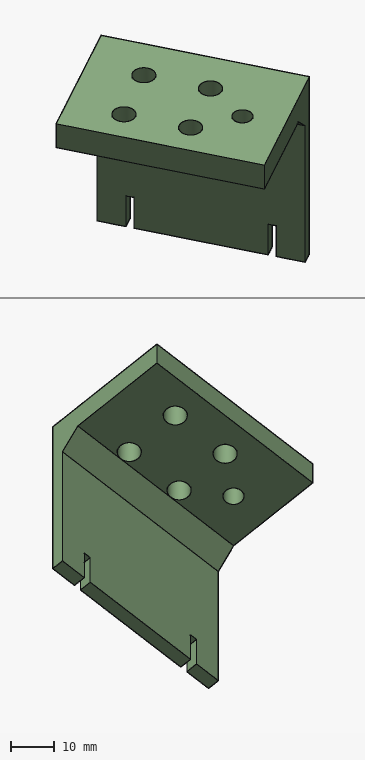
import cadquery as cq

width = 50.0
depth = 34.0
height = 52.0

plate_thickness = 7.0
wall_thickness = 3.2
wedge_leg = 5.0

pattern_hole_diameter = 5.5
pattern_pitch_x = 16.0
pattern_pitch_y = 15.0
pattern_center_x = 21.75
pattern_center_y = 15.5

side_hole_diameter = 4.8
side_hole_x = 39.8

slot_width = 1.9
slot_height = 9.0
slot_edge_distance = 7.0

plate_bottom = height - plate_thickness
wall_front = depth - wall_thickness


def bracket_body():
    """L-shaped bracket with a full-width 45 degree wedge in the inner corner."""
    profile = [
        (0, height),
        (depth, height),
        (depth, 0),
        (wall_front, 0),
        (wall_front, plate_bottom - wedge_leg),
        (wall_front - wedge_leg, plate_bottom),
        (0, plate_bottom),
    ]
    return cq.Workplane("YZ").polyline(profile).close().extrude(width)


def plate_hole(x, y, diameter):
    """Vertical cutter that passes through the plate."""
    return (
        cq.Workplane("XY", origin=(x, y, plate_bottom))
        .circle(diameter / 2)
        .extrude(plate_thickness)
    )


def wall_slot(x_start):
    """Cutter for a slot that rises from the bottom edge of the wall."""
    return (
        cq.Workplane("XY", origin=(x_start, wall_front, 0))
        .box(slot_width, wall_thickness, slot_height, centered=False)
    )


result = bracket_body()

for side_x in (-1, 1):
    for side_y in (-1, 1):
        hole_x = pattern_center_x + side_x * pattern_pitch_x / 2
        hole_y = pattern_center_y + side_y * pattern_pitch_y / 2
        result = result.cut(plate_hole(hole_x, hole_y, pattern_hole_diameter))

result = result.cut(plate_hole(side_hole_x, pattern_center_y, side_hole_diameter))

for slot_x in (slot_edge_distance, width - slot_edge_distance - slot_width):
    result = result.cut(wall_slot(slot_x))